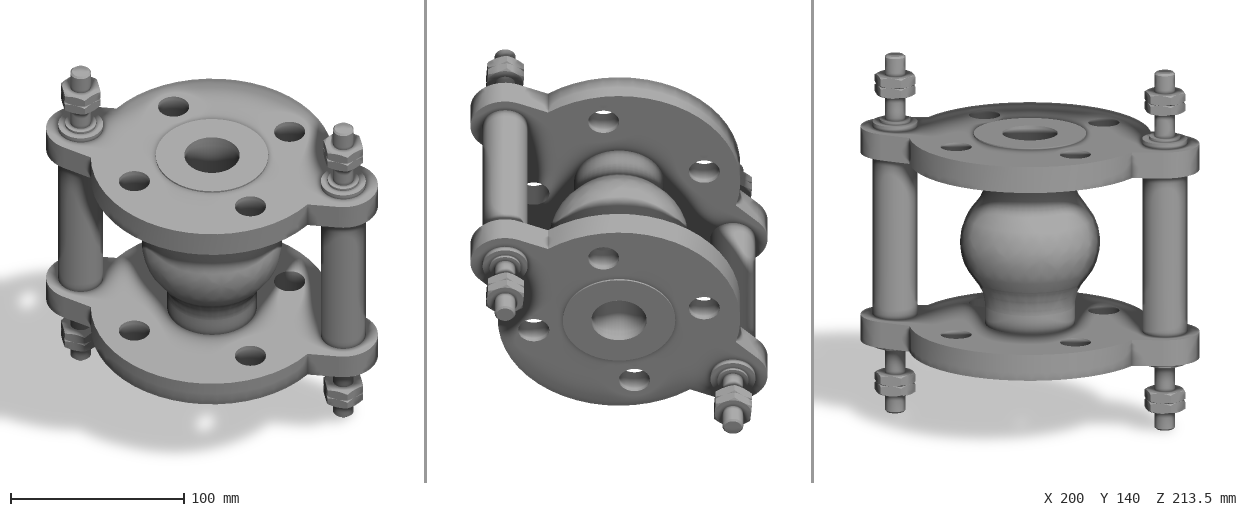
import cadquery as cq
import math

FACE_TO_FACE = 130.0
FACE_RAISE = 1.0
FACE_DIA = 65.0
FLANGE_DIA = 140.0
FLANGE_THICKNESS = 15.5
BOLT_CIRCLE_DIA = 100.0
BOLT_COUNT = 4
BOLT_HOLE_DIA = 18.0
BORE_DIA = 32.0

ROD_SPACING = 160.0
LUG_RADIUS = 20.0
LUG_TAPER = math.radians(11.5)

NECK_DIA = 52.0
BULGE_DIA = 81.0
BULGE_ARC_RADIUS = 32.5
NECK_ARC_START = 37.4

ROD_DIA = 12.0
ROD_LENGTH = 213.5
ROD_CHAMFER = 1.0
SLEEVE_DIA = 26.0
COLLAR_HEIGHT = 3.0
WASHER_DIA = 18.0
WASHER_HEIGHT = 1.5
NUT_FLATS = 21.0
NUT_SIDES = 6
NUT_HEIGHT = 6.0
NUT_CHAMFER_ANGLE = math.radians(30)
NUT_STACK_CLEARANCE = 14.7
NUTS_PER_END = 2

flange_top = FACE_TO_FACE / 2 - FACE_RAISE
flange_bottom = flange_top - FLANGE_THICKNESS
rod_x = ROD_SPACING / 2


def cylinder(diameter, bottom, height):
    """Cylinder about the Z axis, starting at the given height."""
    return cq.Workplane("XY").workplane(offset=bottom).circle(diameter / 2).extrude(height)


def make_lug():
    """Rounded lug on the +X side whose flanks widen tangentially into the flange."""
    tangent_x = rod_x + LUG_RADIUS * math.sin(LUG_TAPER)
    tangent_y = LUG_RADIUS * math.cos(LUG_TAPER)
    root_x = FACE_DIA / 2
    root_y = tangent_y + (tangent_x - root_x) * math.tan(LUG_TAPER)
    return (
        cq.Workplane("XY")
        .workplane(offset=flange_bottom)
        .moveTo(root_x, -root_y)
        .lineTo(tangent_x, -tangent_y)
        .threePointArc((rod_x + LUG_RADIUS, 0), (tangent_x, tangent_y))
        .lineTo(root_x, root_y)
        .close()
        .extrude(FLANGE_THICKNESS)
    )


def make_flange():
    """Upper flange with its two lugs, raised face and bolt holes."""
    lug = make_lug()
    bolt_holes = (
        cq.Workplane("XY")
        .workplane(offset=flange_bottom)
        .polarArray(BOLT_CIRCLE_DIA / 2, 180 / BOLT_COUNT, 360, BOLT_COUNT)
        .circle(BOLT_HOLE_DIA / 2)
        .extrude(FLANGE_THICKNESS)
    )
    return (
        cylinder(FLANGE_DIA, flange_bottom, FLANGE_THICKNESS)
        .union(lug)
        .union(lug.mirror("YZ"))
        .union(cylinder(FACE_DIA, flange_top, FACE_RAISE))
        .cut(bolt_holes)
    )


def make_body():
    """Revolved body: straight necks, concave shoulder arcs and a convex bulge, all tangent."""
    neck_r = NECK_DIA / 2
    bulge_r = BULGE_DIA / 2
    bulge_center_r = bulge_r - BULGE_ARC_RADIUS
    bulge_height = bulge_r - neck_r
    radius_sum = (bulge_height**2 + NECK_ARC_START**2) / (2 * bulge_height)
    shoulder_radius = radius_sum - BULGE_ARC_RADIUS
    shoulder_center_r = neck_r + shoulder_radius
    sweep = math.asin(NECK_ARC_START / radius_sum)
    joint_r = bulge_center_r + BULGE_ARC_RADIUS * math.cos(sweep)
    joint_z = BULGE_ARC_RADIUS * math.sin(sweep)
    shoulder_mid_r = shoulder_center_r - shoulder_radius * math.cos(sweep / 2)
    shoulder_mid_z = NECK_ARC_START - shoulder_radius * math.sin(sweep / 2)
    return (
        cq.Workplane("XZ")
        .moveTo(0, -flange_bottom)
        .lineTo(neck_r, -flange_bottom)
        .lineTo(neck_r, -NECK_ARC_START)
        .threePointArc((shoulder_mid_r, -shoulder_mid_z), (joint_r, -joint_z))
        .threePointArc((bulge_r, 0), (joint_r, joint_z))
        .threePointArc((shoulder_mid_r, shoulder_mid_z), (neck_r, NECK_ARC_START))
        .lineTo(neck_r, flange_bottom)
        .lineTo(0, flange_bottom)
        .close()
        .revolve(360, (0, 0, 0), (0, 1, 0))
    )


def make_nut(bottom):
    """Hexagon nut with corners on the X axis, chamfered on both faces."""
    corner_r = NUT_FLATS / math.sqrt(3)
    flat_r = NUT_FLATS / 2
    chamfer_height = (corner_r - flat_r) * math.tan(NUT_CHAMFER_ANGLE)
    hexagon = (
        cq.Workplane("XY")
        .workplane(offset=bottom)
        .polygon(NUT_SIDES, 2 * corner_r)
        .extrude(NUT_HEIGHT)
    )
    chamfer_envelope = (
        cylinder(2 * corner_r, bottom, NUT_HEIGHT)
        .faces("<Z or >Z")
        .chamfer(chamfer_height, corner_r - flat_r)
    )
    return hexagon.intersect(chamfer_envelope)


def make_rod_end():
    """Collar, washer and nut stack above the upper flange lug."""
    washer_bottom = flange_top + COLLAR_HEIGHT
    stack_bottom = washer_bottom + WASHER_HEIGHT + NUT_STACK_CLEARANCE
    end = cylinder(SLEEVE_DIA, flange_top, COLLAR_HEIGHT)
    end = end.union(cylinder(WASHER_DIA, washer_bottom, WASHER_HEIGHT))
    for index in range(NUTS_PER_END):
        end = end.union(make_nut(stack_bottom + index * NUT_HEIGHT))
    return end


def make_tie_rod():
    """Chamfered rod with its spacer sleeve and the fittings at both ends."""
    rod_end = make_rod_end()
    rod = cylinder(ROD_DIA, -ROD_LENGTH / 2, ROD_LENGTH).faces("<Z or >Z").chamfer(ROD_CHAMFER)
    sleeve = cylinder(SLEEVE_DIA, -flange_bottom, 2 * flange_bottom)
    return rod.union(sleeve).union(rod_end).union(rod_end.mirror("XY"))


flange = make_flange()
result = make_body().union(flange).union(flange.mirror("XY"))
result = result.cut(cylinder(BORE_DIA, -FACE_TO_FACE / 2, FACE_TO_FACE))

tie_rod = make_tie_rod()
for side in (-1, 1):
    result = result.union(tie_rod.translate((side * rod_x, 0, 0)))